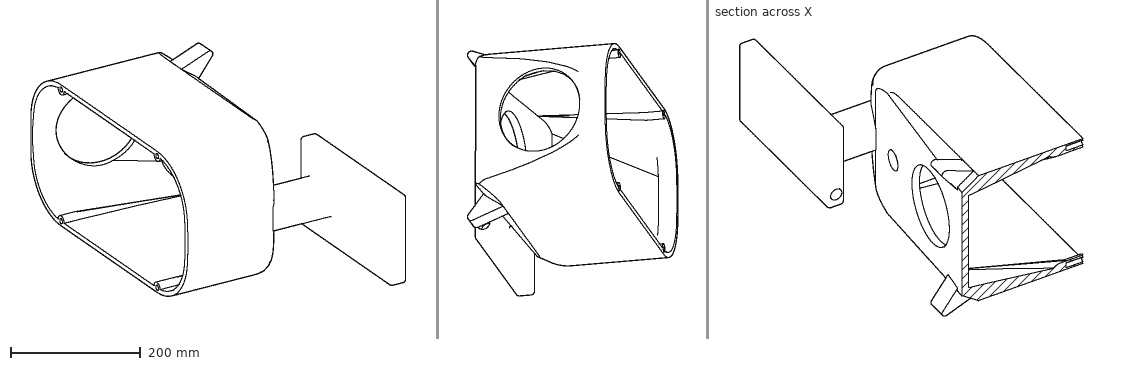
import math

import cadquery as cq

HALF_HEIGHT = 120.0
CORNER_RADIUS = 90.0
RIGHT_CORNER_X = 375.0
END_BULGE = 1.6
RIM_WALL = 8.0

LEFT_BREAK_Y = 29.0
LEFT_LEAN = 11.0
BACK_Y_AT_LEFT = 225.9
BACK_TILT = 5.0
BACK_LEFT_FILLET = 30.0
OBLIQUE_START_X = 392.0
OBLIQUE_TILT = 24.3
OBLIQUE_FILLET = 30.0
BEVEL_START_Y = 188.0
BEVEL_ANGLE = 35.0

INNER_LEFT_BULGE = 2.8
RIM_BAND_DEPTH = 29.0
BACK_WALL = 13.0
FLOOR_LEFT_X = 45.5
FLOOR_LEFT_HALF = 78.0
FLOOR_LEFT_CORNER_X = 69.0
FLOOR_LEFT_CORNER_HALF = 86.5
FLOOR_RIGHT_CORNER_X = 345.0
FLOOR_RIGHT_CORNER_HALF = 104.0
FLOOR_RIGHT_X = 383.0
FLOOR_RIGHT_HALF = 96.0
FLOOR_LOWER_RIGHT_CORNER_X = 377.0
FLOOR_LOWER_RIGHT_CORNER_HALF = 106.0
FLOOR_LOWER_RIGHT_HALF = 103.0
FLOOR_CORNER_BOW = 2.5

POST_DIAMETER = 18.0
SCREW_HOLE_DIAMETER = 8.0
SCREW_HOLE_DEPTH = 30.0
LARGE_HOLE_X = 199.0
LARGE_HOLE_DIAMETER = 132.0
SMALL_HOLE_X = 331.0
SMALL_HOLE_DIAMETER = 34.0
SIDE_HOLE_Y = 108.5
SIDE_HOLE_DIAMETER = 135.0

RIDGE_TIP_RADIUS = 0.5
LEFT_RIDGE_ENDS_X = (145.0, 132.0)
RIGHT_RIDGE_ENDS_X = (378.0, 315.0)

OVERALL_LENGTH = 628.69
OVERALL_DEPTH = 297.0
PLATE_LENGTH = 270.5
PLATE_THICKNESS = 30.0
PLATE_HEIGHT = 150.0
PLATE_FILLET = 6.0
PLATE_HOLE_Y = 282.7
PLATE_HOLE_Z = -50.0
PLATE_HOLE_DIAMETER = 20.0
PLATE_HOLE_DEPTH = 30.0
ARM_CENTER_X = 425.0
ARM_WIDTH = 70.0
ARM_HEIGHT = 45.0
ARM_FILLET = 6.0
ARM_FLARE = 5.0
ARM_ROOT_Y = 145.0

HORN_X = 104.2
HORN_WIDTH = 33.8
HORN_FRONT_ROOT = (186.0, 119.2)
HORN_APEX = (257.4, 146.8)
HORN_BACK_ROOT = (211.0, 86.4)
HORN_INNER_ROOT = (190.0, 113.0)
HORN_TIP_RADIUS = 6.4

BEVEL_END_HALF = 40.0
STOCK_DEPTH = 420.0
PUNCH_REACH = 3 * BACK_WALL
SELECT_MARGIN = 1.0


def back_y(x, inset=0.0):
    """Height of the back plane at x, moved inward by inset."""
    tilt = math.radians(BACK_TILT)
    return BACK_Y_AT_LEFT - x * math.tan(tilt) - inset / math.cos(tilt)


def end_arc(corner_x, corner_z, radius, bulge, side):
    """Corner-to-bow tangent point, bow apex and corner midpoint for the end on side (-1 or +1)."""
    reach = radius + bulge
    bow_radius = (reach**2 + corner_z**2 - radius**2) / (2 * bulge)
    angle = math.atan2(corner_z, bow_radius - reach)
    tangent = (corner_x + side * radius * math.cos(angle), corner_z + radius * math.sin(angle))
    half = (math.pi / 2 + angle) / 2
    middle = (corner_x + side * radius * math.cos(half), corner_z + radius * math.sin(half))
    return tangent, (corner_x + side * reach, 0.0), middle


def mirrored(point):
    return (point[0], -point[1])


def rim_sketch(plane, half_height, radius, left_bulge):
    """Long outline with four corner arcs, a bowed right end and a flat or bowed left end."""
    corner_z = half_height - radius
    right_tangent, right_apex, right_middle = end_arc(RIGHT_CORNER_X, corner_z, radius, END_BULGE, 1)
    top_left = (CORNER_RADIUS, half_height)
    top_right = (RIGHT_CORNER_X, half_height)
    outline = (
        cq.Workplane(plane)
        .moveTo(*top_left)
        .lineTo(*top_right)
        .threePointArc(right_middle, right_tangent)
        .threePointArc(right_apex, mirrored(right_tangent))
        .threePointArc(mirrored(right_middle), mirrored(top_right))
        .lineTo(*mirrored(top_left))
    )
    if left_bulge:
        tangent, apex, middle = end_arc(CORNER_RADIUS, corner_z, radius, left_bulge, -1)
        outline = outline.threePointArc(mirrored(middle), mirrored(tangent)).threePointArc(apex, tangent)
    else:
        tangent = (CORNER_RADIUS - radius, corner_z)
        diagonal = radius * math.sqrt(0.5)
        middle = (CORNER_RADIUS - diagonal, corner_z + diagonal)
        outline = outline.threePointArc(mirrored(middle), mirrored(tangent)).lineTo(*tangent)
    return outline.threePointArc(middle, top_left).close()


def plane_at(y):
    """XZ plane at height y whose normal is +Y; sketch y is -Z."""
    return cq.Plane(origin=(0, y, 0), xDir=(1, 0, 0), normal=(0, 1, 0))


def tilted_normal(tilt):
    """Outward normal of a plane that falls toward +X by tilt degrees."""
    angle = math.radians(tilt)
    return cq.Vector(math.sin(angle), math.cos(angle), 0)


def oblique_prism():
    """Outline prism under the oblique right-hand plane, with that plane blended into the walls."""
    slope = math.tan(math.radians(OBLIQUE_TILT))
    start_y = back_y(OBLIQUE_START_X)
    far_left = -OVERALL_LENGTH
    far_right = OVERALL_LENGTH
    under_oblique = (
        cq.Workplane("XY")
        .polyline([
            (far_left, 0),
            (far_right, 0),
            (far_right, start_y + (OBLIQUE_START_X - far_right) * slope),
            (far_left, start_y + (OBLIQUE_START_X - far_left) * slope),
        ])
        .close()
        .extrude(2 * HALF_HEIGHT, both=True)
    )
    return (
        rim_sketch(plane_at(0), HALF_HEIGHT, CORNER_RADIUS, 0)
        .extrude(STOCK_DEPTH)
        .intersect(under_oblique)
        .faces(cq.selectors.DirectionMinMaxSelector(tilted_normal(OBLIQUE_TILT)))
        .edges()
        .fillet(OBLIQUE_FILLET)
    )


def leaning_profile():
    """Block bounded by the leaning left wall and the tilted back plane, rounded where they meet."""
    lean = math.tan(math.radians(LEFT_LEAN))
    fall = math.tan(math.radians(BACK_TILT))
    corner_x = lean * (BACK_Y_AT_LEFT - LEFT_BREAK_Y) / (1 + lean * fall)
    corner = (corner_x, back_y(corner_x))
    return (
        cq.Workplane("XY")
        .polyline([
            (0, 0),
            (OVERALL_LENGTH, 0),
            (OVERALL_LENGTH, back_y(OVERALL_LENGTH)),
            corner,
            (0, LEFT_BREAK_Y),
        ])
        .close()
        .extrude(2 * HALF_HEIGHT, both=True)
        .edges(cq.selectors.NearestToPointSelector((*corner, 0)))
        .fillet(BACK_LEFT_FILLET)
    )


def beveled_profile():
    """Block with the long bevels along the upper and lower back edges."""
    slope = math.tan(math.radians(BEVEL_ANGLE))
    end_y = BEVEL_START_Y + (HALF_HEIGHT - BEVEL_END_HALF) / slope
    return (
        cq.Workplane("YZ")
        .polyline([
            (0, HALF_HEIGHT),
            (BEVEL_START_Y, HALF_HEIGHT),
            (end_y, BEVEL_END_HALF),
            (end_y, -BEVEL_END_HALF),
            (BEVEL_START_Y, -HALF_HEIGHT),
            (0, -HALF_HEIGHT),
        ])
        .close()
        .extrude(OVERALL_LENGTH)
    )


def make_outer():
    return oblique_prism().intersect(leaning_profile()).intersect(beveled_profile())


def bowed(start, end):
    """Point just outside the middle of a floor corner."""
    mid_x = (start[0] + end[0]) / 2
    mid_z = (start[1] + end[1]) / 2
    run = math.hypot(end[0] - start[0], end[1] - start[1])
    push = FLOOR_CORNER_BOW / run
    return (mid_x - (end[1] - start[1]) * push, mid_z + (end[0] - start[0]) * push)


def floor_point(point):
    x, z = point
    return cq.Vector(x, back_y(x, BACK_WALL), z)


def make_cavity():
    """Straight band behind the rim, then ruled walls narrowing to a floor along the back plane."""
    radius = CORNER_RADIUS - RIM_WALL
    half = HALF_HEIGHT - RIM_WALL
    band = rim_sketch(plane_at(0), half, radius, INNER_LEFT_BULGE).extrude(RIM_BAND_DEPTH)
    mouth = rim_sketch(plane_at(RIM_BAND_DEPTH), half, radius, INNER_LEFT_BULGE).val()

    left = (FLOOR_LEFT_X, FLOOR_LEFT_HALF)
    left_corner = (FLOOR_LEFT_CORNER_X, FLOOR_LEFT_CORNER_HALF)
    right_corner = (FLOOR_RIGHT_CORNER_X, FLOOR_RIGHT_CORNER_HALF)
    right = (FLOOR_RIGHT_X, FLOOR_RIGHT_HALF)
    left_mid = bowed(left, left_corner)
    right_mid = bowed(right_corner, right)
    lower_right_corner = (FLOOR_LOWER_RIGHT_CORNER_X, -FLOOR_LOWER_RIGHT_CORNER_HALF)
    lower_right = (FLOOR_RIGHT_X, -FLOOR_LOWER_RIGHT_HALF)
    lower_right_mid = bowed(lower_right, lower_right_corner)

    def line(a, b):
        return cq.Edge.makeLine(floor_point(a), floor_point(b))

    def arc(a, middle, b):
        return cq.Edge.makeThreePointArc(floor_point(a), floor_point(middle), floor_point(b))

    floor = cq.Wire.assembleEdges([
        line(mirrored(left_corner), lower_right_corner),
        arc(lower_right_corner, lower_right_mid, lower_right),
        line(lower_right, right),
        arc(right, right_mid, right_corner),
        line(right_corner, left_corner),
        arc(left_corner, left_mid, left),
        line(left, mirrored(left)),
        arc(mirrored(left), mirrored(left_mid), mirrored(left_corner)),
    ])
    taper = cq.Solid.makeLoft([mouth, floor], True)
    return band.union(cq.Workplane(taper))


def post_centers():
    z = HALF_HEIGHT - RIM_WALL
    return [(x, side * z) for x in (CORNER_RADIUS, RIGHT_CORNER_X) for side in (-1, 1)]


def post_cylinders(diameter, depth):
    return cq.Workplane(plane_at(0)).pushPoints(post_centers()).circle(diameter / 2).extrude(depth)


def post_ridges():
    """Slanted ridges that continue each post and taper away to the edge of the cavity floor."""
    rise = FLOOR_RIGHT_CORNER_HALF - FLOOR_LEFT_CORNER_HALF
    slope = rise / (FLOOR_RIGHT_CORNER_X - FLOOR_LEFT_CORNER_X)
    ridges = cq.Workplane()
    for start_x, ends_x in ((CORNER_RADIUS, LEFT_RIDGE_ENDS_X), (RIGHT_CORNER_X, RIGHT_RIDGE_ENDS_X)):
        for side, end_x in zip((-1, 1), ends_x):
            edge_z = FLOOR_LEFT_CORNER_HALF + slope * (end_x - FLOOR_LEFT_CORNER_X)
            end_z = min(edge_z, FLOOR_RIGHT_CORNER_HALF)
            start = cq.Vector(start_x, RIM_BAND_DEPTH, side * (HALF_HEIGHT - RIM_WALL))
            end = cq.Vector(end_x, back_y(end_x, BACK_WALL), side * end_z)
            normal = cq.Vector(0, 1, 0)
            base = cq.Wire.makeCircle(POST_DIAMETER / 2, start, normal)
            tip = cq.Wire.makeCircle(RIDGE_TIP_RADIUS, end, normal)
            ridges = ridges.add(cq.Solid.makeLoft([base, tip], True))
    return ridges.combine()


def back_hole(x, diameter):
    """Round cutter square to the tilted back plane."""
    normal = tilted_normal(BACK_TILT)
    start = cq.Vector(x, back_y(x), 0) - normal * PUNCH_REACH
    return cq.Workplane(cq.Solid.makeCylinder(diameter / 2, 2 * PUNCH_REACH, start, normal))


def side_hole():
    start = cq.Vector(0, SIDE_HOLE_Y, 0)
    return cq.Workplane(
        cq.Solid.makeCylinder(SIDE_HOLE_DIAMETER / 2, CORNER_RADIUS, start, cq.Vector(1, 0, 0))
    )


def make_arm_and_plate():
    plate_y = OVERALL_DEPTH - PLATE_THICKNESS
    plate_left = OVERALL_LENGTH - PLATE_LENGTH
    plate = (
        cq.Workplane("XY")
        .box(PLATE_LENGTH, PLATE_THICKNESS, PLATE_HEIGHT)
        .edges()
        .fillet(PLATE_FILLET)
        .translate((plate_left + PLATE_LENGTH / 2, plate_y + PLATE_THICKNESS / 2, 0))
    )
    hole = cq.Solid.makeCylinder(
        PLATE_HOLE_DIAMETER / 2,
        PLATE_HOLE_DEPTH,
        cq.Vector(plate_left, PLATE_HOLE_Y, PLATE_HOLE_Z),
        cq.Vector(1, 0, 0),
    )
    arm = (
        cq.Workplane(plane_at(ARM_ROOT_Y))
        .center(ARM_CENTER_X, 0)
        .rect(ARM_WIDTH, ARM_HEIGHT)
        .extrude(plate_y - ARM_ROOT_Y)
        .edges("|Y")
        .fillet(ARM_FILLET)
    )
    reach_x = ARM_WIDTH / 2 + SELECT_MARGIN
    reach_z = ARM_HEIGHT / 2 + SELECT_MARGIN
    joint = cq.selectors.BoxSelector(
        (ARM_CENTER_X - reach_x, plate_y - SELECT_MARGIN, -reach_z),
        (ARM_CENTER_X + reach_x, plate_y + SELECT_MARGIN, reach_z),
    )
    return plate.union(arm).edges(joint).fillet(ARM_FLARE).cut(cq.Workplane(hole))


def make_horns():
    horn = (
        cq.Workplane("YZ", origin=(HORN_X, 0, 0))
        .polyline([HORN_FRONT_ROOT, HORN_APEX, HORN_BACK_ROOT, HORN_INNER_ROOT])
        .close()
        .extrude(HORN_WIDTH)
        .edges("|X and >Y")
        .fillet(HORN_TIP_RADIUS)
    )
    return horn.union(horn.mirror("XY"))


outer = make_outer()
cavity = make_cavity()
posts = post_cylinders(POST_DIAMETER, RIM_BAND_DEPTH).union(post_ridges()).intersect(outer)
result = (
    outer.union(make_arm_and_plate())
    .cut(cavity)
    .union(posts)
    .union(make_horns())
    .cut(post_cylinders(SCREW_HOLE_DIAMETER, SCREW_HOLE_DEPTH))
    .cut(back_hole(LARGE_HOLE_X, LARGE_HOLE_DIAMETER))
    .cut(back_hole(SMALL_HOLE_X, SMALL_HOLE_DIAMETER))
    .cut(side_hole())
)